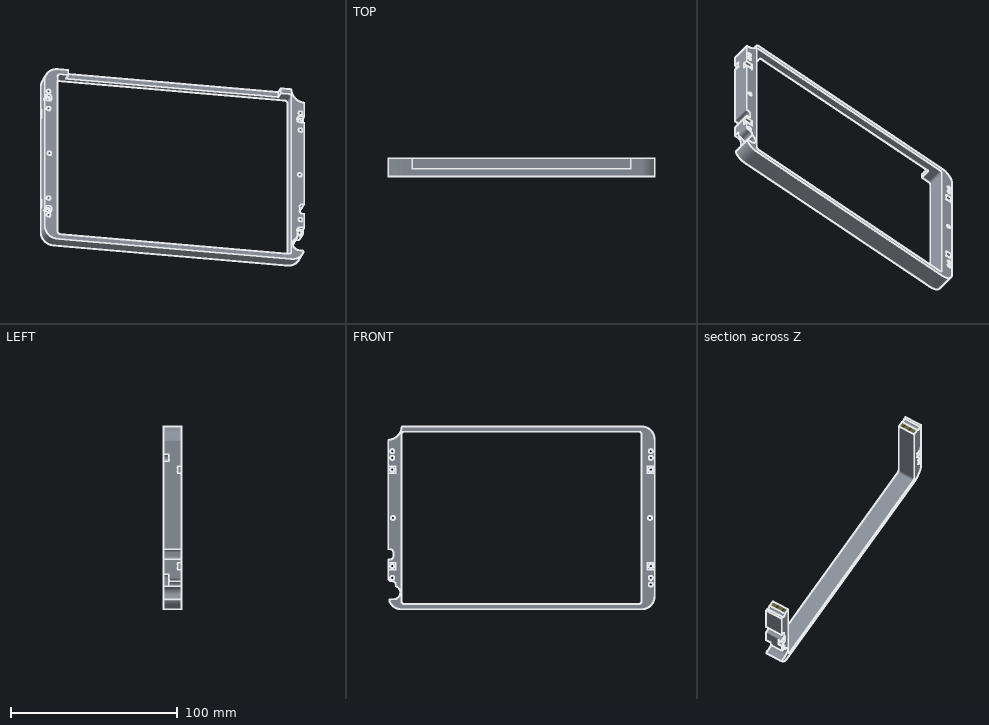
import cadquery as cq

LENGTH = 159.7
DEPTH = 11.0
HEIGHT = 109.7
CORNER_RADIUS = 8.0
WINDOW_LENGTH = 143.7
WINDOW_HEIGHT = 103.2
WINDOW_RADIUS = 1.6

RECESS_LENGTH = 130.6
RECESS_DEPTH = 6.2

HOLE_DIAMETER = 2.4
HOLE_SPACING = 154.9
CENTER_HOLE_SPACING = 154.0
POCKET_HOLE_Z = 28.9
SCREW_HOLE_Z = 36.0
HOLE_PITCH = 4.0
POCKET_SIDE = 4.3
POCKET_DEPTH = 2.4
COUNTERBORE_RADIUS = 2.0
COUNTERBORE_DEPTH = 3.4

SCOOP_EDGE_RADIUS = 0.8

NOTCH_Z = -21.9
NOTCH_HEIGHT = 6.0
NOTCH_DEPTH = 3.0
NOTCH_RADIUS = 1.9
NOTCH_EDGE_RADIUS = 0.5

HOOK_X = -76.7
HOOK_Z = -44.7
HOOK_RADIUS = 4.0
LIP_RADIUS = 1.0

LEFT = -LENGTH / 2
TOP = HEIGHT / 2
FRONT = -DEPTH / 2
BACK = DEPTH / 2
LEFT_HOLE_X = -HOLE_SPACING / 2
RIGHT_HOLE_X = HOLE_SPACING / 2
OUTSIDE_X = LEFT - 3.2


def block(x_min, x_max, y_min, y_max, z_min, z_max):
    size = (x_max - x_min, y_max - y_min, z_max - z_min)
    return cq.Workplane().box(*size, centered=False).translate((x_min, y_min, z_min))


def through_block(x_min, x_max, z_min, z_max):
    return block(x_min, x_max, FRONT, BACK, z_min, z_max)


def cylinder(x, z, radius, y_min=FRONT, y_max=BACK):
    """Round bar along Y."""
    plane = cq.Workplane("XZ", origin=(x, y_max, z))
    return plane.circle(radius).extrude(y_max - y_min)


def round_edge(solid, x, z, radius):
    """Round the front-to-back edge nearest to (x, z)."""
    nearest = cq.selectors.NearestToPointSelector((x, 0, z))
    return solid.edges("|Y").edges(nearest).fillet(radius)


def make_frame():
    outer = cq.Workplane().box(LENGTH, DEPTH, HEIGHT)
    outer = outer.edges("|Y").edges(">X or <Z").fillet(CORNER_RADIUS)
    window = cq.Workplane().box(WINDOW_LENGTH, DEPTH, WINDOW_HEIGHT).edges("|Y").fillet(WINDOW_RADIUS)
    frame = outer.cut(window)
    recess = block(
        -RECESS_LENGTH / 2, RECESS_LENGTH / 2,
        BACK - RECESS_DEPTH, BACK, WINDOW_HEIGHT / 2 - WINDOW_RADIUS, TOP,
    )
    return frame.cut(recess)


def cut_scoop(solid):
    solid = solid.cut(cylinder(LEFT, TOP, CORNER_RADIUS))
    solid = round_edge(solid, LEFT + CORNER_RADIUS, TOP, SCOOP_EDGE_RADIUS)
    return round_edge(solid, LEFT, TOP - CORNER_RADIUS, SCOOP_EDGE_RADIUS)


def cut_notch(solid):
    z_min = NOTCH_Z - NOTCH_HEIGHT / 2
    z_max = NOTCH_Z + NOTCH_HEIGHT / 2
    notch = through_block(OUTSIDE_X, LEFT + NOTCH_DEPTH, z_min, z_max)
    solid = solid.cut(notch.edges("|Y and >X").fillet(NOTCH_RADIUS))
    for z in (z_min, z_max):
        solid = round_edge(solid, LEFT, z, NOTCH_EDGE_RADIUS)
    return solid


def cut_hook(solid):
    wall_x = LEFT_HOLE_X + COUNTERBORE_RADIUS
    shelf_z = -SCREW_HOLE_Z - COUNTERBORE_RADIUS
    lip_z = HOOK_Z - HOOK_RADIUS
    step = through_block(OUTSIDE_X, wall_x, HOOK_Z, shelf_z)
    step = step.edges("|Y and >X and >Z").fillet(COUNTERBORE_RADIUS)
    mouth = through_block(OUTSIDE_X, HOOK_X, lip_z, HOOK_Z)
    hook = step.union(mouth).union(cylinder(HOOK_X, HOOK_Z, HOOK_RADIUS))
    solid = solid.cut(hook)
    solid = round_edge(solid, LEFT, shelf_z, COUNTERBORE_RADIUS)
    solid = round_edge(solid, LEFT, lip_z, LIP_RADIUS)
    relief = block(OUTSIDE_X, wall_x, BACK - COUNTERBORE_DEPTH, BACK, HOOK_Z, -SCREW_HOLE_Z)
    return solid.cut(relief)


def cut_holes(solid):
    for side in (-1, 1):
        center_hole_x = side * CENTER_HOLE_SPACING / 2
        solid = solid.cut(cylinder(center_hole_x, 0, HOLE_DIAMETER / 2))
    for x in (LEFT_HOLE_X, RIGHT_HOLE_X):
        for end in (-1, 1):
            for z in (POCKET_HOLE_Z, SCREW_HOLE_Z, SCREW_HOLE_Z + HOLE_PITCH):
                if x == LEFT_HOLE_X and end * z < -SCREW_HOLE_Z:
                    continue
                solid = solid.cut(cylinder(x, end * z, HOLE_DIAMETER / 2))
    return solid


def cut_front_pockets(solid):
    """Square pockets, open to the side on the left only."""
    half = POCKET_SIDE / 2
    for z in (-POCKET_HOLE_Z, POCKET_HOLE_Z):
        for x, x_min in ((LEFT_HOLE_X, OUTSIDE_X), (RIGHT_HOLE_X, RIGHT_HOLE_X - half)):
            pocket = block(x_min, x + half, FRONT, FRONT + POCKET_DEPTH, z - half, z + half)
            solid = solid.cut(pocket)
    return solid


def cut_rear_counterbores(solid):
    """Round counterbores, opened to the side by a slot on the left."""
    floor_y = BACK - COUNTERBORE_DEPTH
    for z in (-SCREW_HOLE_Z, SCREW_HOLE_Z):
        for x in (LEFT_HOLE_X, RIGHT_HOLE_X):
            solid = solid.cut(cylinder(x, z, COUNTERBORE_RADIUS, floor_y, BACK))
        slot = block(
            OUTSIDE_X, LEFT_HOLE_X, floor_y, BACK,
            z - COUNTERBORE_RADIUS, z + COUNTERBORE_RADIUS,
        )
        solid = solid.cut(slot)
    return solid


result = make_frame()
result = cut_scoop(result)
result = cut_notch(result)
result = cut_hook(result)
result = cut_holes(result)
result = cut_front_pockets(result)
result = cut_rear_counterbores(result)